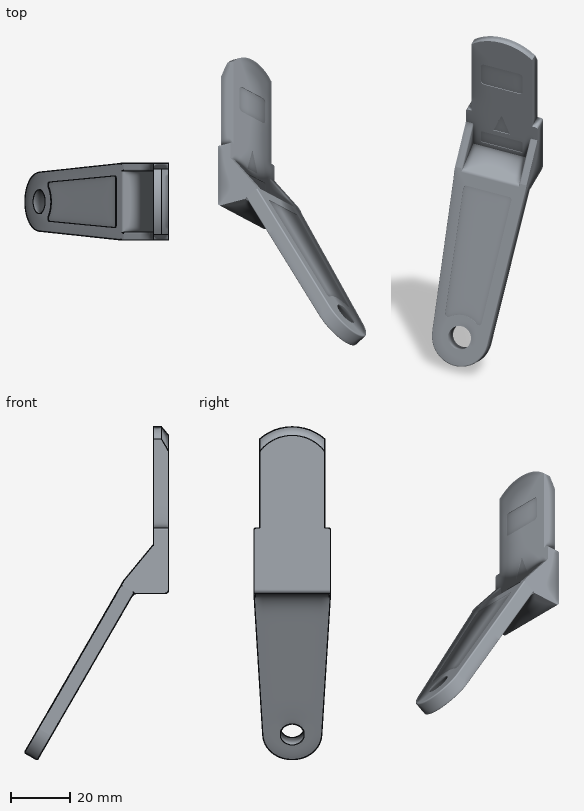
import cadquery as cq
import math


total_width = 26.0
blade_thickness = 5.2
blade_width = 22.1
blade_top = 56.4
blade_corner_z = 52.2
shoulder_top = 22.2
shoulder_radius = 0.8
tip_chamfer_depth = 2.5
tip_chamfer_drop = 2.9

arm_angle = 60.0
arm_thickness = 5.1
arm_end_radius = 10.0
arm_length = 55.4
arm_edge_radius = 0.5
hole_diameter = 8.1
hole_x = -43.8
hole_z = -45.1

cheek_top_z = 16.5
cheek_bottom_z = 4.4
pocket_width = 20.6
floor_back_z = 7.4
floor_front_z = 3.7
floor_lip_radius = 1.4
cheek_edge_radius = 0.6
heel_radius = 1.2
underside_radius = 2.3
underside_inset = 0.2

recess_depth = 0.2
panel_half_width = 7.7
upper_panel_z = (35.5, 44.5)
upper_panel_radius = 1.5
lower_panel_z = (9.1, 14.0)
lower_panel_radius = 0.6
arrow_half_width = 2.9
arrow_base_z = 15.9
arrow_tip_z = 23.6
arrow_radius = 0.3
arm_panel_end = 51.8
arm_panel_end_half_width = 8.8
arm_panel_hole_half_width = 6.5
arm_panel_arc_radius = 7.9
arm_panel_corner_radius = 1.0

slope_cos = math.cos(math.radians(arm_angle))
slope_sin = math.sin(math.radians(arm_angle))
arm_plane = cq.Plane(
    origin=(hole_x, 0, hole_z),
    xDir=(slope_cos, 0, slope_sin),
    normal=(-slope_sin, 0, slope_cos),
)


def arm_point(along, depth):
    """XZ point a distance up the arm from the hole and a depth below its front face."""
    return (
        hole_x + along * slope_cos + depth * slope_sin,
        hole_z + along * slope_sin - depth * slope_cos,
    )


def arm_point_at_height(z, depth):
    along = (z - hole_z + depth * slope_cos) / slope_sin
    return arm_point(along, depth)


def extrude_across(points, width):
    """Extrude an XZ outline equally to both sides of Y = 0."""
    return cq.Workplane("XZ").polyline(points).close().extrude(width / 2, both=True)


def make_blade():
    half_width = blade_width / 2
    front_plane = cq.Workplane("YZ", origin=(-blade_thickness, 0, 0))
    blade = (
        front_plane.moveTo(-half_width, 0)
        .lineTo(half_width, 0)
        .lineTo(half_width, blade_corner_z)
        .threePointArc((0, blade_top), (-half_width, blade_corner_z))
        .close()
        .extrude(blade_thickness)
    )
    sagitta = blade_top - blade_corner_z
    tip_radius = (half_width**2 + sagitta**2) / (2 * sagitta)
    bevel_slope = tip_chamfer_drop / tip_chamfer_depth
    tip_center_z = blade_top - tip_radius
    cone = cq.Solid.makeCone(
        tip_radius - tip_chamfer_drop + bevel_slope * blade_thickness,
        tip_radius - tip_chamfer_drop,
        blade_thickness,
        pnt=cq.Vector(-blade_thickness, 0, tip_center_z),
        dir=cq.Vector(1, 0, 0),
    )
    below_tip = cq.Workplane("XY").box(
        2 * blade_thickness, total_width, tip_center_z, centered=(True, True, False)
    )
    return blade.intersect(below_tip.union(cq.Workplane(cone)))


def make_shoulders():
    return (
        cq.Workplane("XY")
        .box(blade_thickness, total_width, shoulder_top, centered=(False, True, False))
        .translate((-blade_thickness, 0, 0))
        .edges("|X and >Z")
        .fillet(shoulder_radius)
    )


def make_hub():
    """Wedge between the blade and the arm: a sloping floor flanked by two cheeks."""
    floor_front = arm_point_at_height(floor_front_z, 0)
    arm_root = arm_point(arm_length, 0)
    underside_corner = arm_point_at_height(0, arm_thickness)
    hub = extrude_across(
        [
            (0, 0),
            (0, floor_back_z),
            (-blade_thickness, floor_back_z),
            floor_front,
            arm_root,
            arm_point(arm_length, arm_thickness),
            underside_corner,
        ],
        total_width,
    )
    lip = cq.NearestToPointSelector((floor_front[0], 0, floor_front[1]))
    hub = hub.edges(lip).fillet(floor_lip_radius)

    cheek_bottom = arm_point_at_height(cheek_bottom_z, 0)
    cheek_outline = [
        (-blade_thickness, 0),
        (-blade_thickness, cheek_top_z),
        cheek_bottom,
        arm_root,
    ]
    half_pocket = pocket_width / 2
    cheek_thickness = (total_width - pocket_width) / 2
    inner_edge = cq.NearestToPointSelector(
        ((cheek_bottom[0] - blade_thickness) / 2, -half_pocket, (cheek_bottom_z + cheek_top_z) / 2)
    )
    cheek = (
        cq.Workplane("XZ", origin=(0, -half_pocket, 0))
        .polyline(cheek_outline)
        .close()
        .extrude(cheek_thickness)
        .edges(inner_edge)
        .fillet(cheek_edge_radius)
    )
    return hub.union(cheek).union(cheek.mirror("XZ"))


def make_arm():
    half_width = total_width / 2
    root_distance = math.hypot(arm_length, half_width)
    tangent_angle = math.atan2(half_width, arm_length) + math.acos(arm_end_radius / root_distance)
    tangent_x = arm_end_radius * math.cos(tangent_angle)
    tangent_y = arm_end_radius * math.sin(tangent_angle)
    arm = (
        cq.Workplane(arm_plane)
        .moveTo(arm_length, -half_width)
        .lineTo(arm_length, half_width)
        .lineTo(tangent_x, tangent_y)
        .threePointArc((-arm_end_radius, 0), (tangent_x, -tangent_y))
        .close()
        .extrude(-arm_thickness)
    )
    outer_faces = cq.selectors.ParallelDirSelector(arm_plane.zDir)
    outline_edges = cq.selectors.InverseSelector(cq.selectors.ParallelDirSelector(arm_plane.yDir))
    arm = arm.faces(outer_faces).edges(outline_edges).fillet(arm_edge_radius)
    hole = cq.Workplane(arm_plane).circle(hole_diameter / 2).extrude(-arm_thickness)
    return arm.cut(hole)


def blade_panel(z_range, corner_radius):
    bottom, top = z_range
    return (
        cq.Workplane("YZ", origin=(-blade_thickness, 0, (bottom + top) / 2))
        .rect(2 * panel_half_width, top - bottom)
        .extrude(recess_depth)
        .edges("|X")
        .fillet(corner_radius)
    )


def arrow_recess():
    return (
        cq.Workplane("YZ", origin=(-blade_thickness, 0, 0))
        .polyline([(-arrow_half_width, arrow_base_z), (arrow_half_width, arrow_base_z), (0, arrow_tip_z)])
        .close()
        .extrude(recess_depth)
        .edges("|X and >Z")
        .fillet(arrow_radius)
    )


def arm_panel():
    """Tapered recess whose lower end curves around the hole."""
    corner_x = math.sqrt(arm_panel_arc_radius**2 - arm_panel_hole_half_width**2)
    panel = (
        cq.Workplane(arm_plane)
        .moveTo(corner_x, -arm_panel_hole_half_width)
        .lineTo(arm_panel_end, -arm_panel_end_half_width)
        .lineTo(arm_panel_end, arm_panel_end_half_width)
        .lineTo(corner_x, arm_panel_hole_half_width)
        .threePointArc((arm_panel_arc_radius, 0), (corner_x, -arm_panel_hole_half_width))
        .close()
        .extrude(-recess_depth)
    )
    corners = cq.selectors.ParallelDirSelector(arm_plane.zDir)
    return panel.edges(corners).fillet(arm_panel_corner_radius)


def make_underside_blend():
    """Concave blend between the hub's underside and the back of the arm."""
    corner_x, corner_z = arm_point_at_height(0, arm_thickness)
    half_turn = math.radians(arm_angle / 2)
    tangent_length = underside_radius * math.tan(half_turn)
    sagitta_from_corner = underside_radius / math.cos(half_turn) - underside_radius
    on_underside = (corner_x + tangent_length, corner_z)
    on_arm = (corner_x - tangent_length * slope_cos, corner_z - tangent_length * slope_sin)
    on_arc = (
        corner_x + sagitta_from_corner * math.sin(half_turn),
        corner_z - sagitta_from_corner * math.cos(half_turn),
    )
    blend_width = total_width - 2 * arm_edge_radius - underside_inset
    inside_hub = arm_point(arm_length, arm_thickness / 2)
    return (
        cq.Workplane("XZ")
        .moveTo(*on_underside)
        .threePointArc(on_arc, on_arm)
        .lineTo(*inside_hub)
        .close()
        .extrude(blend_width / 2, both=True)
    )


hub = make_hub().union(make_blade()).union(make_shoulders())
heel = cq.NearestToPointSelector((0, 0, 0))
hub = hub.edges(heel).fillet(heel_radius)
body = hub.union(make_arm()).union(make_underside_blend())
recesses = [
    blade_panel(upper_panel_z, upper_panel_radius),
    blade_panel(lower_panel_z, lower_panel_radius),
    arrow_recess(),
    arm_panel(),
]
for recess in recesses:
    body = body.cut(recess)
result = body